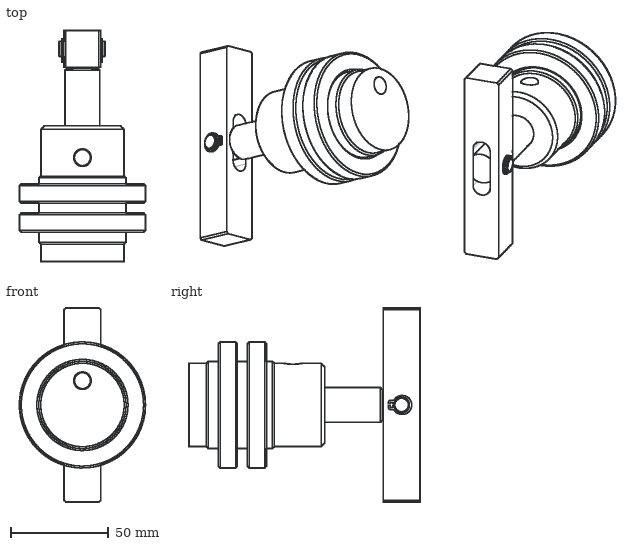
import cadquery as cq


housing_length = 70.0
plain_radius = 21.5
thread_radius = 22.5
thread_start = 9.0
thread_end = 44.0
thread_chamfer = thread_radius - plain_radius
housing_chamfer = 2.0

port_radius = 4.5
port_taper = 1.79
port_depth = 12.0
front_port_height = 12.5
top_port_place = 53.5

nut_radius = 32.5
nut_thickness = 10.0
nut_chamfer = 1.0
nut_gap = 5.0
first_nut_place = 15.0
nut_places = (first_nut_place, first_nut_place + nut_thickness + nut_gap)

bar_width = 19.0
bar_height = 100.0
bar_chamfer = 1.0
bar_front = 100.0
bar_back = bar_front + bar_width
slot_width = 9.5
slot_height = 30.0

rod_radius = 9.0
rod_socket_depth = 10.0
rod_start = housing_length - rod_socket_depth
rod_chamfer = 1.0
shoulder_place = bar_front - 0.5
tongue_radius = rod_radius - rod_chamfer

pin_radius = 4.0
pin_length = 24.0
pin_shift = -0.2
pin_left = pin_shift - pin_length / 2
pin_right = pin_shift + pin_length / 2
pin_chamfer = 0.5
pin_place = bar_front + bar_width / 2

clip_thickness = 0.8
clip_spacing = bar_width - 2 * pin_shift
clip_places = (pin_shift - clip_spacing / 2 - clip_thickness, pin_shift + clip_spacing / 2)
groove_radius = 3.8
clip_radius = 4.9
clip_offset = 0.3
lug_reach = 6.8
lug_half_width = 2.4
lug_fillet = 1.2
lug_gap = 1.0
lug_hole_radius = 0.6
lug_hole_height = 0.8
lug_hole_reach = 5.2


def rod_along_y(radius, start, end):
    """Solid cylinder on the Y axis between two places."""
    return cq.Workplane("XZ", origin=(0, start, 0)).circle(radius).extrude(start - end)


def cylinder_along_x(radius, start, end):
    """Solid cylinder on the hinge axis between two X places."""
    return cq.Workplane("YZ", origin=(start, pin_place, 0)).circle(radius).extrude(end - start)


def make_port(mouth):
    """Tapered port cavity running inward from its mouth plane, narrower at the bottom."""
    return mouth.circle(port_radius).extrude(-port_depth, taper=port_taper)


def make_housing():
    """Turned body with a raised threaded band, a rod socket and two air ports."""
    body = rod_along_y(plain_radius, 0, housing_length).faces(">Y").chamfer(housing_chamfer)
    band = rod_along_y(thread_radius, thread_start, thread_end).faces("<Y or >Y").chamfer(thread_chamfer)
    socket = rod_along_y(rod_radius, rod_start, housing_length)
    front_port = make_port(cq.Workplane("XZ", origin=(0, 0, front_port_height)))
    top_port = make_port(cq.Workplane("XY", origin=(0, top_port_place, plain_radius)))
    return body.union(band).cut(socket).cut(front_port).cut(top_port)


def make_nut(place):
    """Round lock nut with all four edges chamfered."""
    end = place + nut_thickness
    disc = rod_along_y(nut_radius, place, end)
    bore = rod_along_y(thread_radius, place, end)
    return disc.cut(bore).faces("<Y or >Y").chamfer(nut_chamfer)


def make_rod():
    """Round rod whose end is a thinner, two-flat tongue drilled for the hinge pin."""
    shaft = rod_along_y(rod_radius, rod_start, shoulder_place).faces(">Y").chamfer(rod_chamfer)
    tongue_length = bar_back - shoulder_place
    flats = cq.Workplane("XY").box(slot_width, tongue_length, 2 * tongue_radius)
    flats = flats.translate((0, shoulder_place + tongue_length / 2, 0))
    tongue = rod_along_y(tongue_radius, shoulder_place, bar_back).intersect(flats)
    return shaft.union(tongue).cut(cylinder_along_x(pin_radius, -slot_width, slot_width))


def make_bar():
    """Square bar with chamfered ends, a slot for the rod tongue and a cross hole for the pin."""
    bar = cq.Workplane("XY").box(bar_width, bar_width, bar_height)
    bar = bar.faces("<Z or >Z").edges("|Y").chamfer(bar_chamfer)
    bar = bar.translate((0, pin_place, 0))
    slot = (
        cq.Workplane("XZ", origin=(0, bar_front, 0))
        .slot2D(slot_height, slot_width, 90)
        .extrude(-bar_width)
    )
    return bar.cut(slot).cut(cylinder_along_x(pin_radius, -bar_width, bar_width))


def make_pin():
    """Hinge pin with chamfered ends and a clip groove outside each side of the bar."""
    pin = cylinder_along_x(pin_radius, pin_left, pin_right).faces("<X or >X").chamfer(pin_chamfer)
    for inner in clip_places:
        outer = inner + clip_thickness
        core = cylinder_along_x(groove_radius, inner, outer)
        pin = pin.cut(cylinder_along_x(pin_radius, inner, outer).cut(core))
    return pin


def make_clip(inner):
    """Open retaining ring whose two lugs, with plier holes opening into the gap, face the housing."""
    plane = cq.Workplane("YZ", origin=(inner, pin_place, 0))
    ring = plane.center(clip_offset, 0).circle(clip_radius).extrude(clip_thickness)
    lugs = (
        plane.center(-lug_reach / 2, 0)
        .rect(lug_reach, 2 * lug_half_width)
        .extrude(clip_thickness)
        .edges("|X and <Y")
        .fillet(lug_fillet)
    )
    gap = plane.center(-lug_reach / 2, 0).rect(lug_reach, lug_gap).extrude(clip_thickness)
    holes = (
        plane.pushPoints([(-lug_hole_reach, lug_hole_height), (-lug_hole_reach, -lug_hole_height)])
        .circle(lug_hole_radius)
        .extrude(clip_thickness)
    )
    seat = cylinder_along_x(groove_radius, inner, inner + clip_thickness)
    return ring.union(lugs).cut(gap).cut(holes).cut(seat)


housing = make_housing()
nuts = [make_nut(place) for place in nut_places]
rod = make_rod()
bar = make_bar()
pin = make_pin()
clips = [make_clip(inner) for inner in clip_places]

result = cq.Compound.makeCompound(
    [
        housing.val(),
        *[nut.val() for nut in nuts],
        rod.val(),
        bar.val(),
        pin.val(),
        *[clip.val() for clip in clips],
    ]
)